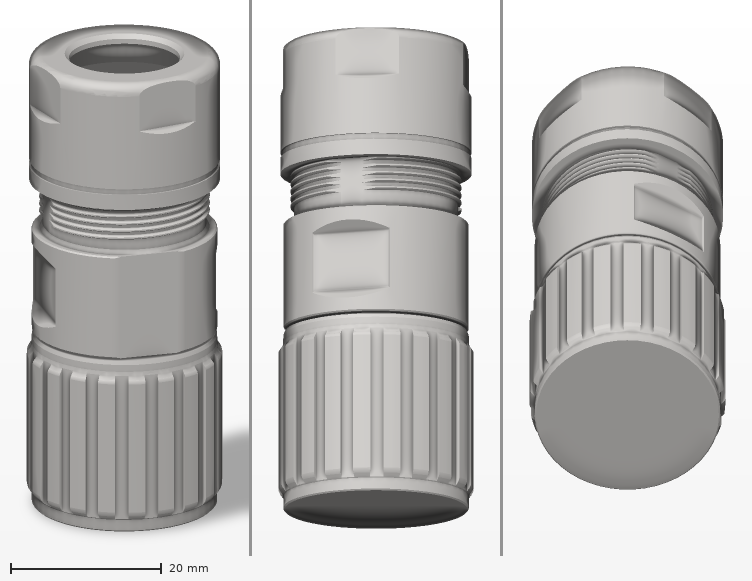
import cadquery as cq
import math

total_height = 63.1

collar_radius = 24.7 / 2
collar_top = 24.05
collar_bevel_width = 0.2
collar_bevel_height = 0.5
foot_height = 1.7
foot_bevel = 0.2
rib_radius = 26.0 / 2
rib_lower_cone_top = 2.6
rib_lower_fillet = 1.1
rib_upper_cone_bottom = 21.25
rib_upper_fillet = 0.6
collar_root_fillet = 1.6
grip_floor_radius = 12.4
grip_groove_width = 1.75
grip_groove_count = 20

neck_radius = 21.85 / 2
body_radius = 24.7 / 2
body_bottom = 24.4
body_top = 38.75
body_edge_bevel = 0.2
wrench_flat_distance = 21.85 / 2
wrench_flat_width = 10.8
wrench_flat_bottom = 27.7
wrench_flat_top = 35.45
wrench_flat_fillet = 0.3
label_flat_distance = 11.5
label_flat_fillet = 2.5

neck_flare_height = 0.55
neck_flare_width = 0.4
thread_pitch = 1.0
thread_crest_radius = 11.35
thread_root_width = 0.8
thread_crest_width = 0.2
thread_overlap = 0.2
thread_start_height = 40.65
thread_start_angle = 193.0
thread_turns = 5.25
neck_flat_distance = 21.65 / 2

cap_radius = 25.4 / 2
cap_bottom = 45.55
neck_insertion = 1.9
cap_edge_fillet = 1.6
cap_groove_radius = 24.9 / 2
cap_groove_bottom = 47.65
cap_groove_top = 48.45
cap_flat_count = 4
cap_flat_distance = 12.0
cap_flat_bottom = 56.6
cap_flat_turn = 12.0
mouth_radius = 7.4
mouth_bevel = 0.55
mouth_lip_height = 1.25
cavity_radius = 9.4
cavity_floor = 58.55

cut_margin = 3.15


def turned(points):
    """Solid of revolution about Z from (radius, height) points."""
    return cq.Workplane("XZ").polyline(points).close().revolve(360, (0, 0), (0, 1))


def cylinder(radius, bottom, top):
    return cq.Workplane("XY").workplane(offset=bottom).circle(radius).extrude(top - bottom)


def around_axis(shape, count, first_angle=0.0):
    """Copies of a shape, evenly spaced around Z."""
    copies = cq.Workplane("XY")
    for index in range(count):
        angle = first_angle + index * 360.0 / count
        copies = copies.add(shape.rotate((0, 0, 0), (0, 0, 1), angle).vals())
    return copies.combine()


def fillet_rim(solid, height, radius):
    """Round the circular edge lying at the given height."""
    tolerance = 0.005
    rim = cq.selectors.BoxSelector(
        (-tolerance, -tolerance, height - tolerance),
        (tolerance, tolerance, height + tolerance),
    )
    return solid.edges(rim).fillet(radius)


def make_coupling_ring():
    rib_upper_cone_top = rib_upper_cone_bottom + rib_radius - collar_radius
    ring = turned([
        (0, 0),
        (collar_radius - foot_bevel, 0),
        (collar_radius, foot_bevel),
        (collar_radius, foot_height),
        (rib_radius, rib_lower_cone_top),
        (rib_radius, rib_upper_cone_bottom),
        (collar_radius, rib_upper_cone_top),
        (collar_radius, collar_top - collar_bevel_height),
        (collar_radius - collar_bevel_width, collar_top),
        (0, collar_top),
    ])
    ring = fillet_rim(ring, rib_lower_cone_top, rib_lower_fillet)
    ring = fillet_rim(ring, rib_upper_cone_bottom, rib_upper_fillet)
    ring = fillet_rim(ring, rib_upper_cone_top, collar_root_fillet)
    groove = (
        cq.Workplane("XY")
        .box(rib_radius + cut_margin, grip_groove_width, collar_top, centered=(False, True, False))
        .cut(cylinder(grip_floor_radius, 0, collar_top))
    )
    return ring.cut(around_axis(groove, grip_groove_count))


def make_body():
    body = turned([
        (0, body_bottom),
        (body_radius - body_edge_bevel, body_bottom),
        (body_radius, body_bottom + body_edge_bevel),
        (body_radius, body_top - body_edge_bevel),
        (body_radius - body_edge_bevel, body_top),
        (0, body_top),
    ])
    return body.cut(make_label_flat_cutter()).cut(around_axis(make_wrench_flat_cutter(), 2))


def make_label_flat_cutter():
    """Everything outside a D-shaped outline whose two corners are rounded."""
    height = body_top - body_bottom
    outer = cylinder(body_radius + cut_margin, body_bottom, body_top)
    beyond_flat = (
        cq.Workplane("XY")
        .box(cut_margin, 2 * body_radius, height, centered=(False, True, False))
        .translate((label_flat_distance, 0, body_bottom))
    )
    outline = cylinder(body_radius, body_bottom, body_top).cut(beyond_flat)
    half_chord = math.sqrt(body_radius**2 - label_flat_distance**2)
    for side in (-1, 1):
        corner = (label_flat_distance, side * half_chord, body_bottom + height / 2)
        outline = outline.edges("|Z").edges(cq.selectors.NearestToPointSelector(corner))
        outline = outline.fillet(label_flat_fillet)
    return outer.cut(outline)


def make_wrench_flat_cutter():
    """Pocket on the -Y side with ends sloping out at 45 degrees."""
    floor = -wrench_flat_distance
    cutter = (
        cq.Workplane("YZ")
        .polyline([
            (floor, wrench_flat_bottom),
            (floor, wrench_flat_top),
            (floor - cut_margin, wrench_flat_top + cut_margin),
            (floor - cut_margin, wrench_flat_bottom - cut_margin),
        ])
        .close()
        .extrude(wrench_flat_width / 2, both=True)
    )
    return cutter.faces(">Y").edges().fillet(wrench_flat_fillet)


def make_threaded_neck():
    neck_top = cap_bottom + neck_insertion
    neck = turned([
        (0, collar_top),
        (neck_radius, collar_top),
        (neck_radius, body_top - body_edge_bevel),
        (neck_radius + neck_flare_width, body_top - body_edge_bevel),
        (neck_radius + neck_flare_width, body_top),
        (neck_radius, body_top + neck_flare_height),
        (neck_radius, neck_top),
        (0, neck_top),
    ])
    flat_bottom = body_top + neck_flare_height
    beside_flat = (
        cq.Workplane("XY")
        .box(2 * thread_crest_radius, cut_margin, neck_top - flat_bottom, centered=(True, False, False))
        .translate((0, neck_flat_distance, flat_bottom))
    )
    return neck.union(make_thread()).cut(around_axis(beside_flat, 2))


def make_thread():
    """Right-handed helical ridge whose root is sunk slightly into the neck."""
    root_radius = neck_radius - thread_overlap
    helix = cq.Wire.makeHelix(thread_pitch, thread_pitch * thread_turns, root_radius)
    ridge = (
        cq.Workplane("XZ")
        .polyline([
            (root_radius, -thread_root_width / 2),
            (root_radius, thread_root_width / 2),
            (thread_crest_radius, thread_crest_width / 2),
            (thread_crest_radius, -thread_crest_width / 2),
        ])
        .close()
        .sweep(cq.Workplane("XY").add(helix), isFrenet=True)
    )
    return ridge.rotate((0, 0, 0), (0, 0, 1), thread_start_angle).translate((0, 0, thread_start_height))


def make_cap():
    cap = cylinder(cap_radius, cap_bottom, total_height).faces(">Z").edges().fillet(cap_edge_fillet)
    groove = cylinder(cap_radius + cut_margin, cap_groove_bottom, cap_groove_top).cut(
        cylinder(cap_groove_radius, cap_groove_bottom, cap_groove_top)
    )
    mouth = turned([
        (0, cavity_floor),
        (cavity_radius, cavity_floor),
        (cavity_radius, total_height - mouth_lip_height),
        (mouth_radius, total_height - mouth_lip_height),
        (mouth_radius, total_height - mouth_bevel),
        (mouth_radius + mouth_bevel, total_height),
        (0, total_height),
    ])
    flat = (
        cq.Workplane("XZ")
        .polyline([
            (cap_flat_distance, cap_flat_bottom),
            (cap_flat_distance, total_height),
            (cap_flat_distance + cut_margin, total_height),
            (cap_flat_distance + cut_margin, cap_flat_bottom - cut_margin),
        ])
        .close()
        .extrude(cap_radius, both=True)
    )
    return cap.cut(groove).cut(mouth).cut(around_axis(flat, cap_flat_count, cap_flat_turn))


result = make_coupling_ring().union(make_body()).union(make_threaded_neck()).union(make_cap())